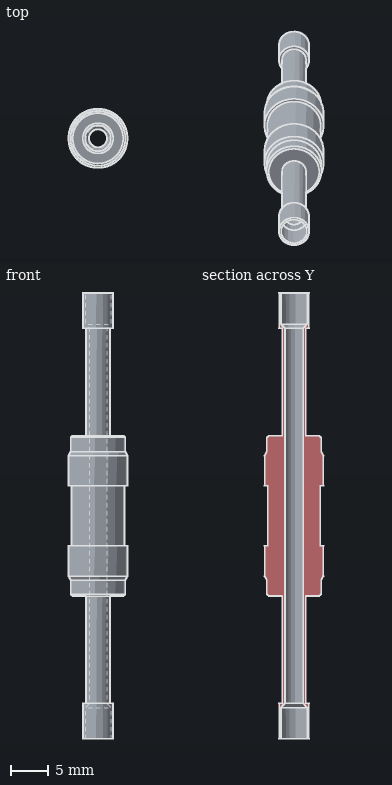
import cadquery as cq

half_length = 29.8
ferrule_length = 4.75
body_half_length = 10.7
body_end_bevel_height = 0.25
collar_inner_z = 4.0
collar_outer_z = 8.05
collar_cone_height = 0.55
funnel_height = 0.6

ferrule_radius = 2.0
ferrule_bore_radius = 1.7
tube_radius = 1.6
bore_radius = 1.2
body_radius = 3.6
collar_radius = 7.9 / 2
cap_radius = 7.3 / 2
body_end_bevel_width = 0.3

ferrule_inner_z = half_length - ferrule_length

upper_section = [
    (body_radius, collar_inner_z),
    (collar_radius, collar_inner_z),
    (collar_radius, collar_outer_z),
    (cap_radius, collar_outer_z + collar_cone_height),
    (cap_radius, body_half_length - body_end_bevel_height),
    (cap_radius - body_end_bevel_width, body_half_length),
    (tube_radius, body_half_length),
    (tube_radius, ferrule_inner_z),
    (ferrule_radius, ferrule_inner_z),
    (ferrule_radius, half_length),
    (ferrule_bore_radius, half_length),
    (ferrule_bore_radius, ferrule_inner_z + funnel_height),
    (bore_radius, ferrule_inner_z),
]

lower_section = [(radius, -z) for radius, z in reversed(upper_section)]
wall_section = cq.Workplane("XZ").polyline(upper_section + lower_section).close()

result = wall_section.revolve(360, (0, 0, 0), (0, 1, 0))